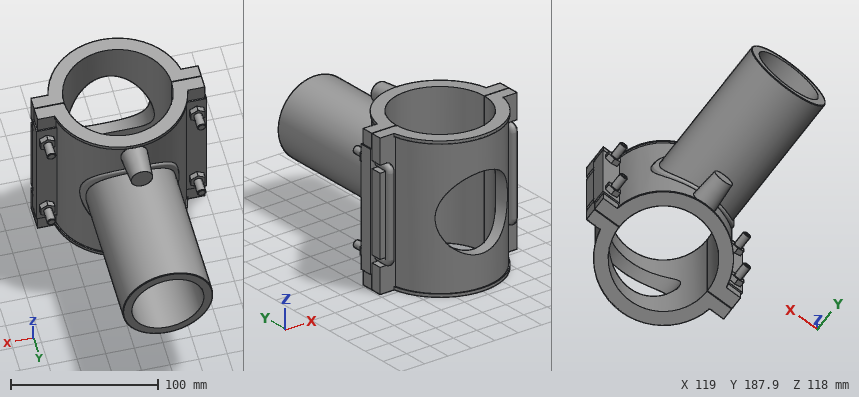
import cadquery as cq

bore_radius = 37.5
body_radius = 46.5
rim_radius = 47.5
rim_height = 2.5
clamp_height = 118
split_gap = 0.5

ear_half_width = 58.5
ear_depth = 9.5

pipe_diameter = 63
pipe_bore_diameter = 50.4
pipe_end_y = 140.43
pipe_chamfer = 0.5
front_opening_diameter = 61.74

collar_diameter = 69
collar_radius = 48.4
collar_fillet = 1.2

peg_tip_diameter = 15
peg_root_diameter = 18.8
peg_root_y = 46
peg_tip_y = 67.5
peg_z = 47.25

bolt_diameter = 6
bolt_x = 52.5
bolt_z = 35.5
bolt_end_y = 25
bolt_chamfer = 0.5
nut_across_flats = 10
nut_height = 4
bracket_thickness = 1
bracket_height = 94.5

bolt_radius = bolt_diameter / 2
bracket_back_y = ear_depth + bracket_thickness
bend_radius = bolt_radius
bar_y = -ear_depth - bend_radius


def upright(radius, height):
    """Cylinder on the Z axis, centred on the origin."""
    return cq.Workplane("XY").circle(radius).extrude(height / 2, both=True)


def along_y(diameter, start_y, end_y, x=0, z=0):
    """Cylinder parallel to Y between two Y positions."""
    plane = cq.Plane(origin=(x, start_y, z), xDir=(1, 0, 0), normal=(0, 1, 0))
    return cq.Workplane(plane).circle(diameter / 2).extrude(end_y - start_y)


def block(x_range, y_range, height):
    """Box between X and Y limits, centred on Z = 0."""
    width = x_range[1] - x_range[0]
    depth = y_range[1] - y_range[0]
    centre = (sum(x_range) / 2, sum(y_range) / 2, 0)
    return cq.Workplane("XY").box(width, depth, height).translate(centre)


def make_pipe():
    pipe = along_y(pipe_diameter, 0, pipe_end_y)
    return pipe.faces(">Y").edges().chamfer(pipe_chamfer)


def make_collar():
    saddle = upright(collar_radius, clamp_height)
    collar = saddle.intersect(along_y(collar_diameter, 0, pipe_end_y))
    return collar.faces(">Y").edges().fillet(collar_fillet)


def make_peg(z):
    plane = cq.Plane(origin=(0, peg_root_y, z), xDir=(1, 0, 0), normal=(0, 1, 0))
    root = cq.Workplane(plane).circle(peg_root_diameter / 2)
    tip = root.workplane(offset=peg_tip_y - peg_root_y).circle(peg_tip_diameter / 2)
    return tip.loft()


def make_clamp():
    clamp = upright(body_radius, clamp_height)
    rim_z = (clamp_height - rim_height) / 2
    for z in (-rim_z, rim_z):
        clamp = clamp.union(upright(rim_radius, rim_height).translate((0, 0, z)))
    ears = block((-ear_half_width, ear_half_width), (-ear_depth, ear_depth), clamp_height)
    clamp = clamp.union(ears).union(make_collar()).union(make_pipe())
    for z in (-peg_z, peg_z):
        clamp = clamp.union(make_peg(z))

    clamp = clamp.cut(upright(bore_radius, clamp_height))
    clamp = clamp.cut(along_y(pipe_bore_diameter, 0, pipe_end_y))
    clamp = clamp.cut(along_y(front_opening_diameter, -rim_radius, 0))
    gap = block((-ear_half_width, ear_half_width), (-split_gap, 0), clamp_height)
    clamp = clamp.cut(gap)
    return clamp.cut(make_slots())


def make_slots():
    """Bolt slots in the front half, open at the outer side of each ear."""
    slots = cq.Workplane("XY")
    for side in (-1, 1):
        for z in (-bolt_z, bolt_z):
            x_limits = sorted((side * bolt_x, side * ear_half_width))
            slot = block(x_limits, (-ear_depth, 0), bolt_diameter).translate((0, 0, z))
            slots = slots.add(slot)
            slots = slots.add(along_y(bolt_diameter, -ear_depth, 0, side * bolt_x, z))
    return slots.combine()


def make_bracket():
    """Thin angle over the back and outer side of the +X ear."""
    outer_x = ear_half_width + bracket_thickness
    inner_x = (bore_radius + body_radius) / 2
    bracket = block((inner_x, outer_x), (0, bracket_back_y), bracket_height)
    return bracket.cut(block((0, ear_half_width), (0, ear_depth), bracket_height))


def make_bolt():
    """U-bolt on the +X side with its two nuts."""
    bar_plane = cq.Plane(origin=(bolt_x, bar_y, 0), xDir=(-1, 0, 0), normal=(0, 0, 1))
    bolt = cq.Workplane(bar_plane).circle(bolt_radius).extrude(bolt_z - bend_radius, both=True)
    for side in (-1, 1):
        z = side * bolt_z
        leg = along_y(bolt_diameter, -ear_depth, bolt_end_y, bolt_x, z)
        leg = leg.faces(">Y").edges().chamfer(bolt_chamfer)
        bend_start = (bolt_x, bar_y, side * (bolt_z - bend_radius))
        bend_plane = cq.Plane(origin=bend_start, xDir=(0, 1, 0), normal=(0, 0, side))
        bend_profile = cq.Workplane(bend_plane).circle(bolt_radius)
        bend = bend_profile.revolve(90, (bend_radius, -1), (bend_radius, 1))
        nut_plane = cq.Plane(origin=(bolt_x, bracket_back_y, z), xDir=(1, 0, 0), normal=(0, 1, 0))
        nut = cq.Workplane(nut_plane).polygon(6, nut_across_flats, circumscribed=True).extrude(nut_height)
        bolt = bolt.union(leg).union(bend).union(nut)
    return bolt


fastener = make_bracket().union(make_bolt())
result = make_clamp().union(fastener).union(fastener.mirror("YZ"))